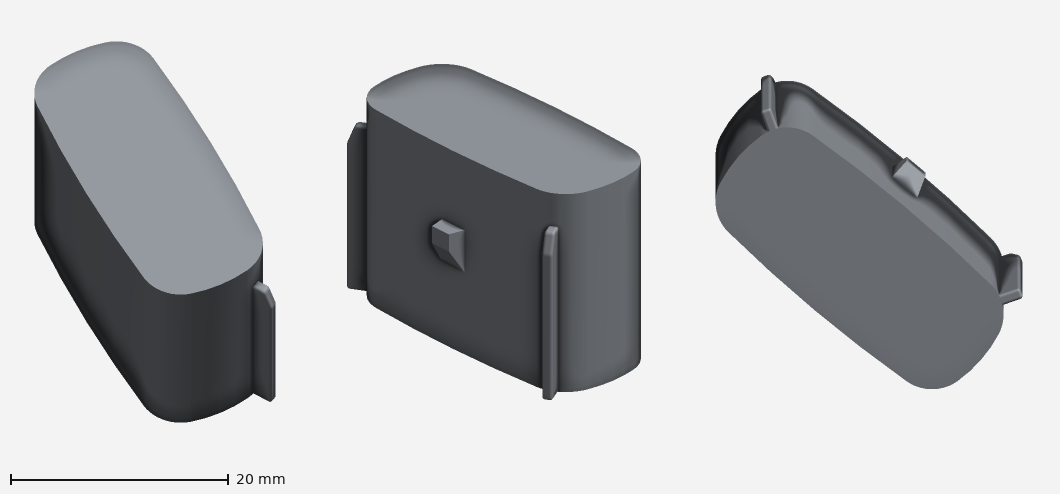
import cadquery as cq
import math

body_length = 29.35
body_width = 12.8
body_height = 20.5
long_side_radius = 137.07
short_side_radius = 12.8
corner_radius = 4.0

fin_thickness = 1.0
fin_reach = 5.97
fin_height = 17.1
fin_lead_in_height = 2.0
fin_lead_in_depth = 0.8
fin_top_corner_radius = 0.45
fin_tip_corner_radius = 0.85
fin_edge_radius = 0.27
right_fin_angle = 30
left_fin_angle = 120

latch_reach = 1.58
latch_base_width = 3.02
latch_tip_width = 2.25
latch_top_height = 12.85
latch_tip_height = 1.77
latch_slope_height = 2.55

half_length = body_length / 2
half_width = body_width / 2

long_side_center_y = half_width - long_side_radius
short_side_center_x = half_length - short_side_radius
to_long_center = long_side_radius - corner_radius
to_short_center = short_side_radius - corner_radius
center_gap = math.hypot(short_side_center_x, long_side_center_y)
along_gap = (to_short_center**2 - to_long_center**2 + center_gap**2) / (2 * center_gap)
across_gap = math.sqrt(to_short_center**2 - along_gap**2)
gap_x = -short_side_center_x / center_gap
gap_y = long_side_center_y / center_gap
corner_center_x = short_side_center_x + along_gap * gap_x - across_gap * gap_y
corner_center_y = along_gap * gap_y + across_gap * gap_x


def make_body():
    long_scale = long_side_radius / to_long_center
    short_scale = short_side_radius / to_short_center
    long_x = corner_center_x * long_scale
    long_y = long_side_center_y + (corner_center_y - long_side_center_y) * long_scale
    short_x = short_side_center_x + (corner_center_x - short_side_center_x) * short_scale
    short_y = corner_center_y * short_scale
    corner_mid_x = corner_center_x + corner_radius * math.sqrt(0.5)
    corner_mid_y = corner_center_y + corner_radius * math.sqrt(0.5)
    return (
        cq.Workplane("XY")
        .moveTo(-long_x, long_y)
        .threePointArc((0, half_width), (long_x, long_y))
        .threePointArc((corner_mid_x, corner_mid_y), (short_x, short_y))
        .threePointArc((half_length, 0), (short_x, -short_y))
        .threePointArc((corner_mid_x, -corner_mid_y), (long_x, -long_y))
        .threePointArc((0, -half_width), (-long_x, -long_y))
        .threePointArc((-corner_mid_x, -corner_mid_y), (-short_x, -short_y))
        .threePointArc((-half_length, 0), (-short_x, short_y))
        .threePointArc((-corner_mid_x, corner_mid_y), (-long_x, long_y))
        .close()
        .extrude(body_height)
    )


def make_fin(center_x, angle):
    tip_z = fin_height - fin_lead_in_height
    top_x = fin_reach - fin_lead_in_depth
    fin = (
        cq.Workplane("XZ")
        .polyline([(0, 0), (fin_reach, 0), (fin_reach, tip_z), (top_x, fin_height), (0, fin_height)])
        .close()
        .extrude(fin_thickness / 2, both=True)
    )
    top_corner = cq.selectors.NearestToPointSelector((top_x, 0, fin_height))
    tip_corner = cq.selectors.NearestToPointSelector((fin_reach, 0, tip_z))
    bottom_corner = cq.selectors.NearestToPointSelector((fin_reach, 0, 0))
    fin = fin.edges("|Y").edges(top_corner).fillet(fin_top_corner_radius)
    fin = fin.edges("|Y").edges(tip_corner).fillet(fin_tip_corner_radius)
    fin = fin.edges("|Y").edges(bottom_corner).fillet(fin_edge_radius)
    fin = fin.faces("<Y or >Y").edges("not <X").fillet(fin_edge_radius)
    return fin.rotate((0, 0, 0), (0, 0, 1), angle).translate((center_x, corner_center_y, 0))


def make_latch():
    tip_y = half_width + latch_reach
    tip_z = latch_top_height - latch_tip_height
    root_z = tip_z - latch_slope_height
    outline = (
        cq.Workplane("XY")
        .moveTo(-latch_base_width / 2, 0)
        .lineTo(-latch_base_width / 2, half_width)
        .lineTo(-latch_tip_width / 2, tip_y)
        .lineTo(latch_tip_width / 2, tip_y)
        .lineTo(latch_base_width / 2, half_width)
        .lineTo(latch_base_width / 2, 0)
        .close()
        .extrude(latch_top_height)
    )
    side = (
        cq.Workplane("YZ")
        .polyline(
            [
                (0, latch_top_height),
                (tip_y, latch_top_height),
                (tip_y, tip_z),
                (half_width, root_z),
                (0, root_z),
            ]
        )
        .close()
        .extrude(latch_base_width / 2, both=True)
    )
    return outline.intersect(side)


result = (
    make_body()
    .union(make_fin(corner_center_x, right_fin_angle))
    .union(make_fin(-corner_center_x, left_fin_angle))
    .union(make_latch())
)